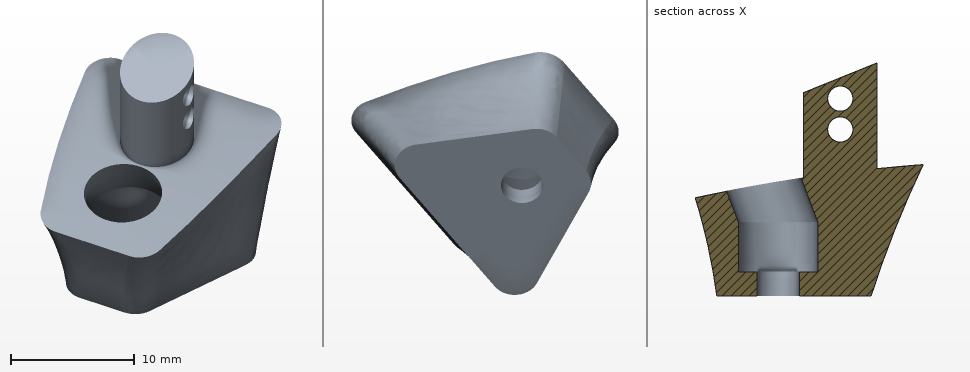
import cadquery as cq
import math


BODY_SECTIONS = [
    (0.0, 2.5, -10.01, 8.46, 2.0),
    (5.68, 4.55, -11.11, 8.58, 2.75),
    (11.35, 7.06, -12.97, 8.7, 4.55),
]
CORNER_RADIUS = 2.0

TOP_BACK = (6.72, 10.7)
TOP_MIDDLE = (-2.54, 9.67)
TOP_FRONT = (-11.8, 7.99)
TRIM_SIZE = 37.86

PIN_DIAMETER = 6.0
PIN_RADIUS = PIN_DIAMETER / 2
PIN_ROOT_HEIGHT = 9.28
PIN_TOP_HEIGHT = 18.93
PIN_END_ANGLE = 22.0
CROSS_HOLE_DIAMETER = 2.0
CROSS_HOLE_HEIGHTS = (13.52, 16.01)

HOLE_Y = -5.04
THROUGH_DIAMETER = 3.4
BORE_DIAMETER = 6.4
BORE_FLOOR = 2.0
LEAN_START = 6.0
LEAN_HEIGHT = 5.68
LEAN_SLOPE = 0.378


def body_section(height, back, front, half_width, front_flat):
    """Trapezoid wire with four equal corner arcs at the given height."""
    r = CORNER_RADIUS
    back_x, back_y = half_width - r, back - r
    front_x, front_y = front_flat, front + r
    lean = math.atan2(back_x - front_x, back_y - front_y)

    def on_corner(x, y, angle):
        return (x + r * math.cos(angle), y + r * math.sin(angle))

    def mirrored(point):
        return (-point[0], point[1])

    right_angle = math.pi / 2
    front_end = (front_x, front)
    front_mid = on_corner(front_x, front_y, -(right_angle + lean) / 2)
    side_front = on_corner(front_x, front_y, -lean)
    side_back = on_corner(back_x, back_y, -lean)
    back_mid = on_corner(back_x, back_y, (right_angle - lean) / 2)
    back_end = (back_x, back)

    return (
        cq.Workplane("XY", origin=(0, 0, height))
        .moveTo(*mirrored(front_end))
        .lineTo(*front_end)
        .threePointArc(front_mid, side_front)
        .lineTo(*side_back)
        .threePointArc(back_mid, back_end)
        .lineTo(*mirrored(back_end))
        .threePointArc(mirrored(back_mid), mirrored(side_back))
        .lineTo(*mirrored(side_front))
        .threePointArc(mirrored(front_mid), mirrored(front_end))
        .close()
        .val()
    )


def make_body():
    """Smoothly flared body trimmed by the arched top."""
    wires = [body_section(*section) for section in BODY_SECTIONS]
    flared = cq.Workplane(obj=cq.Solid.makeLoft(wires))
    (y1, z1), (y2, z2), (y3, z3) = TOP_BACK, TOP_MIDDLE, TOP_FRONT
    det = 2 * ((y2 - y1) * (z3 - z1) - (y3 - y1) * (z2 - z1))
    s2 = (y2 - y1) ** 2 + (z2 - z1) ** 2
    s3 = (y3 - y1) ** 2 + (z3 - z1) ** 2
    centre_y = y1 + ((z3 - z1) * s2 - (z2 - z1) * s3) / det
    centre_z = z1 + ((y2 - y1) * s3 - (y3 - y1) * s2) / det
    radius = math.hypot(y1 - centre_y, z1 - centre_z)
    below_top = (
        cq.Workplane("YZ").center(centre_y, centre_z).circle(radius).extrude(TRIM_SIZE / 2, both=True)
    )
    return flared.intersect(below_top)


def make_pin():
    """Vertical pin with its end sloping down toward the front."""
    low_end = PIN_TOP_HEIGHT - PIN_DIAMETER * math.tan(math.radians(PIN_END_ANGLE))
    profile = (
        cq.Workplane("YZ")
        .polyline([
            (-PIN_RADIUS, PIN_ROOT_HEIGHT),
            (PIN_RADIUS, PIN_ROOT_HEIGHT),
            (PIN_RADIUS, PIN_TOP_HEIGHT),
            (-PIN_RADIUS, low_end),
        ])
        .close()
        .extrude(PIN_DIAMETER, both=True)
    )
    rod = cq.Workplane("XY").circle(PIN_RADIUS).extrude(PIN_TOP_HEIGHT)
    pin = rod.intersect(profile)
    for height in CROSS_HOLE_HEIGHTS:
        cross_hole = (
            cq.Workplane("YZ")
            .center(0, height)
            .circle(CROSS_HOLE_DIAMETER / 2)
            .extrude(PIN_DIAMETER, both=True)
        )
        pin = pin.cut(cross_hole)
    return pin


def make_hole():
    """Through hole, vertical bore and leaning mouth as one cutting solid."""
    base = cq.Workplane("XY").center(0, HOLE_Y)
    through = base.circle(THROUGH_DIAMETER / 2).extrude(LEAN_START)
    bore = (
        base.workplane(offset=BORE_FLOOR)
        .circle(BORE_DIAMETER / 2)
        .extrude(LEAN_START - BORE_FLOOR)
    )
    mouth = (
        base.workplane(offset=LEAN_START)
        .circle(BORE_DIAMETER / 2)
        .workplane(offset=LEAN_HEIGHT)
        .center(0, -LEAN_SLOPE * LEAN_HEIGHT)
        .circle(BORE_DIAMETER / 2)
        .loft(ruled=True)
    )
    return through.union(bore).union(mouth)


result = make_body().cut(make_hole()).union(make_pin())